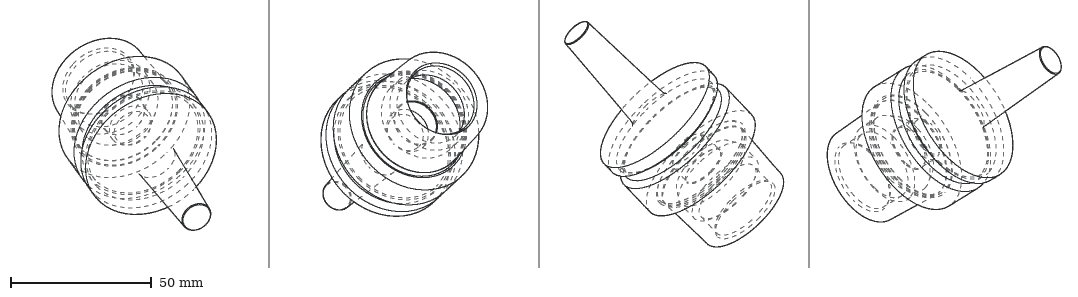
import cadquery as cq
import math

TOTAL_LENGTH = 94.9

RIM_RADIUS = 18.1
RIM_ROUND = 0.95
TAPER_END_X = 23.0
TAPER_END_RADIUS = 19.2
NECK_START_X = 23.5
NECK_RADIUS = 19.0

FLANGE_X = 25.0
FLANGE_END_X = 50.8
FLANGE_DIAMETER = 50.0
FLANGE_RADIUS = FLANGE_DIAMETER / 2
GRIP_LEFT_X = 39.6
GRIP_RIGHT_X = 46.1
GRIP_WALL_ANGLE = 30.0
GRIP_SLOPE_DEPTH = 2.5
GRIP_FLOOR_RADIUS = 21.5
GRIP_FLOOR_ROUND = 0.8

UNDERCUT_ROUND = 0.7
UNDERCUT_DEPTH = 0.4
UNDERCUT_RADIUS = 20.3

STEM_TIP_RADIUS = 5.5
STEM_ANGLE = 3.0
STEM_ROOT_ROUND = 5.0
TIP_CHAMFER = 0.3

BORE_RADIUS = 13.0
BORE_MOUTH_RADIUS = 13.7
BORE_CHAMFER_LENGTH = 1.1
RELIEF_START_X = 10.0
RELIEF_RADIUS = 15.2
RELIEF_SHOULDER_ANGLE = 60.0
RELIEF_END_X = 19.0
FUNNEL_ANGLE = 30.0
FLOOR_RADIUS = 11.8
FLOOR_ROUND = 1.5
PILOT_RADIUS = 8.1
PILOT_DEPTH = 9.5
PILOT_CHAMFER = 0.3
PILOT_FLOOR_RADIUS = 6.9
PILOT_CONE_ANGLE = 30.0


def turn(profile):
    """Revolve a closed (x, radius) profile about the X axis."""
    return profile.close().revolve(360, (0, 0, 0), (1, 0, 0))


def circle_point(center, radius, angle):
    """Point on a circle in the (x, radius) plane."""
    turned = math.radians(angle)
    return (center[0] + radius * math.cos(turned), center[1] + radius * math.sin(turned))


def make_shank():
    """Tapered shank with a rounded rim, a neck and the undercut fillet at its root."""
    root_x = FLANGE_X + UNDERCUT_DEPTH
    rim_center = (RIM_ROUND, RIM_RADIUS - RIM_ROUND)
    root_center = (root_x - UNDERCUT_ROUND, NECK_RADIUS + UNDERCUT_ROUND)
    return turn(
        cq.Workplane("XY")
        .moveTo(0, 0)
        .lineTo(0, rim_center[1])
        .threePointArc(circle_point(rim_center, RIM_ROUND, 135), (RIM_ROUND, RIM_RADIUS))
        .lineTo(TAPER_END_X, TAPER_END_RADIUS)
        .lineTo(NECK_START_X, NECK_RADIUS)
        .lineTo(root_center[0], NECK_RADIUS)
        .threePointArc(circle_point(root_center, UNDERCUT_ROUND, -45), (root_x, root_center[1]))
        .lineTo(root_x, 0)
    )


def make_flange():
    """Cylindrical flange with the shallow undercut in its shank-side face."""
    flange = (
        cq.Workplane("YZ", origin=(FLANGE_X, 0, 0))
        .circle(FLANGE_RADIUS)
        .extrude(FLANGE_END_X - FLANGE_X)
    )
    undercut = turn(
        cq.Workplane("XY")
        .moveTo(FLANGE_X, 0)
        .lineTo(FLANGE_X, UNDERCUT_RADIUS)
        .lineTo(FLANGE_X + UNDERCUT_DEPTH, NECK_RADIUS + UNDERCUT_ROUND)
        .lineTo(FLANGE_X + UNDERCUT_DEPTH, 0)
    )
    return flange.cut(undercut)


def make_grip_groove():
    """Ring with sloped upper walls over a round-cornered channel, to be cut from the flange."""
    slope_run = GRIP_SLOPE_DEPTH * math.tan(math.radians(GRIP_WALL_ANGLE))
    slope_end_radius = FLANGE_RADIUS - GRIP_SLOPE_DEPTH
    channel_left = GRIP_LEFT_X + slope_run
    channel_right = GRIP_RIGHT_X - slope_run
    corner_radius = GRIP_FLOOR_RADIUS + GRIP_FLOOR_ROUND
    left_center = (channel_left + GRIP_FLOOR_ROUND, corner_radius)
    right_center = (channel_right - GRIP_FLOOR_ROUND, corner_radius)
    return turn(
        cq.Workplane("XY")
        .moveTo(GRIP_LEFT_X, FLANGE_RADIUS)
        .lineTo(channel_left, slope_end_radius)
        .lineTo(channel_left, corner_radius)
        .threePointArc(
            circle_point(left_center, GRIP_FLOOR_ROUND, 225),
            (left_center[0], GRIP_FLOOR_RADIUS),
        )
        .lineTo(right_center[0], GRIP_FLOOR_RADIUS)
        .threePointArc(
            circle_point(right_center, GRIP_FLOOR_ROUND, 315),
            (channel_right, corner_radius),
        )
        .lineTo(channel_right, slope_end_radius)
        .lineTo(GRIP_RIGHT_X, FLANGE_RADIUS)
    )


def make_stem():
    """Slender cone that blends into the flange with a tangent root fillet."""
    slope = math.radians(STEM_ANGLE)
    center_x = FLANGE_END_X + STEM_ROOT_ROUND
    tangent_x = center_x - STEM_ROOT_ROUND * math.sin(slope)
    tangent_radius = STEM_TIP_RADIUS + (TOTAL_LENGTH - tangent_x) * math.tan(slope)
    center = (center_x, tangent_radius + STEM_ROOT_ROUND * math.cos(slope))
    middle_angle = 180 + (90 - STEM_ANGLE) / 2
    edge_x = TOTAL_LENGTH - TIP_CHAMFER
    return turn(
        cq.Workplane("XY")
        .moveTo(FLANGE_END_X, 0)
        .lineTo(FLANGE_END_X, center[1])
        .threePointArc(
            circle_point(center, STEM_ROOT_ROUND, middle_angle),
            (tangent_x, tangent_radius),
        )
        .lineTo(edge_x, STEM_TIP_RADIUS + TIP_CHAMFER * math.tan(slope))
        .lineTo(TOTAL_LENGTH, STEM_TIP_RADIUS - TIP_CHAMFER)
        .lineTo(TOTAL_LENGTH, 0)
    )


def make_bore():
    """Chamfered bore opening into a wider relief and a funnel, then a pilot hole."""
    shoulder_angle = math.radians(RELIEF_SHOULDER_ANGLE)
    shoulder_run = (RELIEF_RADIUS - BORE_RADIUS) / math.tan(shoulder_angle)
    funnel_angle = math.radians(FUNNEL_ANGLE)
    funnel_end_radius = FLOOR_RADIUS + FLOOR_ROUND * math.cos(funnel_angle)
    funnel_end_x = RELIEF_END_X + (RELIEF_RADIUS - funnel_end_radius) / math.tan(funnel_angle)
    round_center = (funnel_end_x - FLOOR_ROUND * math.sin(funnel_angle), FLOOR_RADIUS)
    floor_x = round_center[0] + FLOOR_ROUND
    pilot_end_x = floor_x + PILOT_DEPTH
    cone_length = (PILOT_RADIUS - PILOT_FLOOR_RADIUS) / math.tan(math.radians(PILOT_CONE_ANGLE))
    return turn(
        cq.Workplane("XY")
        .moveTo(0, 0)
        .lineTo(0, BORE_MOUTH_RADIUS)
        .lineTo(BORE_CHAMFER_LENGTH, BORE_RADIUS)
        .lineTo(RELIEF_START_X, BORE_RADIUS)
        .lineTo(RELIEF_START_X + shoulder_run, RELIEF_RADIUS)
        .lineTo(RELIEF_END_X, RELIEF_RADIUS)
        .lineTo(funnel_end_x, funnel_end_radius)
        .threePointArc(
            circle_point(round_center, FLOOR_ROUND, (90 - FUNNEL_ANGLE) / 2),
            (floor_x, FLOOR_RADIUS),
        )
        .lineTo(floor_x, PILOT_RADIUS + PILOT_CHAMFER)
        .lineTo(floor_x + PILOT_CHAMFER, PILOT_RADIUS)
        .lineTo(pilot_end_x - cone_length, PILOT_RADIUS)
        .lineTo(pilot_end_x, PILOT_FLOOR_RADIUS)
        .lineTo(pilot_end_x, 0)
    )


result = (
    make_flange()
    .cut(make_grip_groove())
    .union(make_shank())
    .union(make_stem())
    .cut(make_bore())
)